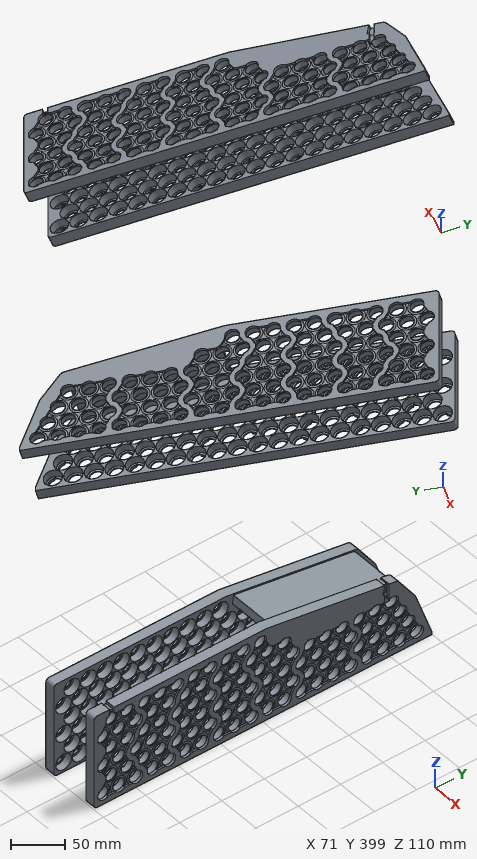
import cadquery as cq
import math


plate_length = 399.0
plate_height = 110.0
plate_thickness = 12.0
overall_width = 71.0
outer_x = overall_width / 2
inner_x = outer_x - plate_thickness
square_end_radius = 4.0
nose_height = 4.0
knee_y = 379.8
knee_z = 56.5
shoulder_y = 359.0
shoulder_z = 85.8
shoulder_radius = 7.5
slope_start_y = 204.0
slope_angle = math.degrees(math.atan2(plate_height - shoulder_z, shoulder_y - slope_start_y))

hole_diameter = 14.0
counterbore_diameter = 18.5
lattice_length = 370.5
lattice_height = 85.0
last_column = 19
top_row = 5
pitch = lattice_length / last_column
row_pitch = lattice_height / top_row
last_hole_y = 11.5
bottom_row_z = 12.0
recess_margin = 4.8
recess_depth = 2.0
skin_thickness = 1.0
counterbore_depth = plate_thickness - recess_depth - skin_thickness

hole_groups = [
    [(0, 3), (0, 3), (1, 3), (1, 3)],
    [(4, 7), (4, 6), (4, 7), (4, 6)],
    [(8, 9), (7, 9), (8, 9), (7, 9), (8, 10), (9, 9)],
    [(10, 12), (10, 11), (10, 12), (10, 11), (11, 12), (10, 11)],
    [(13, 14), (12, 14), (13, 14), (12, 14), (13, 14), (12, 13)],
    [(15, 16), (15, 16), (15, 17), (15, 16), (15, 16), (14, 16)],
    [(17, 19), (17, 18), (18, 19), (17, 18), (17, 19), (17, 18)],
]

slab_thickness = 9.5
slab_sink = 1.5
slab_high_y = 212.2
slab_low_y = 355.0
slab_length = (slab_low_y - slab_high_y) / math.cos(math.radians(slope_angle))

notch_width = 5.0
slope_notch_y = 346.0
end_notch_y = 21.0
end_notch_depth = 3.0
tab_length = 8.8
tab_end_x = inner_x + tab_length


def row_z(row):
    return bottom_row_z + row * row_pitch


def lattice_point(row, column):
    """Y and Z of a hole centre."""
    shifted_column = column + 0.5 * (row % 2)
    return (last_hole_y + lattice_length - shifted_column * pitch, row_z(row))


def group_centres(group):
    return [
        lattice_point(row, column)
        for row, (first, last) in enumerate(group)
        for column in range(first, last + 1)
    ]


def group_outline(group):
    """Polygon through the outermost hole centres of a group."""
    points = []
    for row, (first, _) in enumerate(group):
        start = lattice_point(row, first)
        if row > 0 and points[-1][0] - start[0] > pitch:
            points.append((start[0] + pitch / 2, points[-1][1]))
        points.append(start)
    for row, (_, last) in reversed(list(enumerate(group))):
        end = lattice_point(row, last)
        if end != points[-1]:
            points.append(end)
    return points


def plate_blank():
    """Side plate on the -X side, without holes."""
    plate = (
        cq.Workplane("YZ", origin=(-outer_x, 0, 0))
        .polyline([
            (0, 0),
            (plate_length, 0),
            (plate_length, nose_height),
            (knee_y, knee_z),
            (shoulder_y, shoulder_z),
            (slope_start_y, plate_height),
            (0, plate_height),
        ])
        .close()
        .extrude(plate_thickness)
    )
    plate = plate.edges("|X and <Y").fillet(square_end_radius)
    shoulder = cq.selectors.NearestToPointSelector((-outer_x + plate_thickness / 2, shoulder_y, shoulder_z))
    return plate.edges("|X").edges(shoulder).fillet(shoulder_radius)


def perforated_plate():
    """Side plate on the -X side: outer recesses, through holes and inner counterbores."""
    plate = plate_blank()
    for group in hole_groups:
        recess = (
            cq.Workplane("YZ", origin=(-outer_x, 0, 0))
            .polyline(group_outline(group))
            .close()
            .offset2D(recess_margin, "arc")
            .extrude(recess_depth)
        )
        holes = (
            cq.Workplane("YZ", origin=(-outer_x, 0, 0))
            .pushPoints(group_centres(group))
            .circle(hole_diameter / 2)
            .extrude(plate_thickness)
        )
        counterbores = (
            cq.Workplane("YZ", origin=(-inner_x, 0, 0))
            .pushPoints(group_centres(group))
            .circle(counterbore_diameter / 2)
            .extrude(-counterbore_depth)
        )
        plate = plate.cut(recess).cut(holes).cut(counterbores)
    return plate


def slope_box(x_from, x_to, y_from, length, top_depth, height):
    """Box square to the sloping top edge.

    Its upper edge nearest the square end is at y_from, its length runs down the slope
    and its top is top_depth below the slope.
    """
    angle = math.radians(slope_angle)
    surface_z = plate_height - (y_from - slope_start_y) * math.tan(angle)
    box = cq.Workplane("XY").box(x_to - x_from, length, height, centered=False)
    return (
        box.translate((0, 0, -height))
        .rotate((0, 0, 0), (1, 0, 0), -slope_angle)
        .translate((x_from, y_from, surface_z - top_depth / math.cos(angle)))
    )


def tab_box(x_to, top_depth, height):
    """Box at the tab, reaching from the inner face of the +X plate to x_to."""
    return slope_box(inner_x, x_to, slope_notch_y - notch_width / 2, notch_width, top_depth, height)


def notch_box(x_from, middle_y, bottom_z):
    """Upright box from x_from to the outer face of the +X plate, open at the top."""
    size = (outer_x - x_from, notch_width, plate_height - bottom_z)
    corner = (x_from, middle_y - notch_width / 2, bottom_z)
    return cq.Workplane("XY", origin=corner).box(*size, centered=False)


def slope_notch():
    """Slot for the tab, and a groove from its end down to the first recess."""
    slot = tab_box(outer_x, 0, slab_sink + slab_thickness)
    groove = notch_box(tab_end_x, slope_notch_y, row_z(len(hole_groups[0]) - 1))
    return slot.union(groove)


def end_notch():
    """Slot across the top edge, and a groove from it down to the last recess."""
    slot = notch_box(inner_x, end_notch_y, plate_height - end_notch_depth)
    groove = notch_box(outer_x - recess_depth, end_notch_y, row_z(top_row))
    return slot.union(groove)


def slab_with_tab():
    slab = slope_box(-inner_x, inner_x, slab_high_y, slab_length, slab_sink, slab_thickness)
    return slab.union(tab_box(tab_end_x, slab_sink, slab_thickness)).clean()


left_plate = perforated_plate()
right_plate = left_plate.mirror("YZ").cut(slope_notch()).cut(end_notch())
slab = slab_with_tab()

result = cq.Compound.makeCompound([left_plate.val(), right_plate.val(), slab.val()])